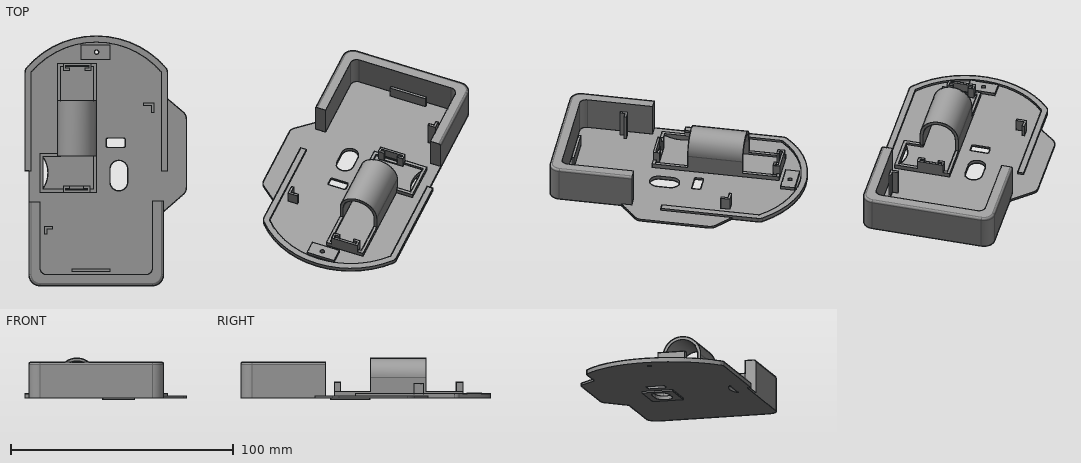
import cadquery as cq
import math


body_width = 60.5
total_length = 112.25
plate_thickness = 1.0
tab_right = 70.78
tab_root_y = (33.3, 84.05)
tab_edge_y = (42.3, 76.8)
tab_corner_radius = 4.0

rim_overhang = 1.75
rim_width = 2.8
rim_height = 2.0
rim_start_y = 51.6
dome_radius = 41.3
rim_corner_radius = 3.0

wall_top = 16.2
wall_thickness = 5.0
wall_corner_radius = 5.0
wall_inner_radius = 3.0
wall_edge_fillet = 1.0
left_wall_end_y = 37.7
right_wall_end_y = 38.1

tray_height = 3.0
tray_wall = 1.4
tray_floor = 2.0
tray_right = 30.4
channel_left = 12.75
channel_top = 99.9
bay_left = 5.0
bay_bottom = 42.0
bay_top = 59.5

sleeve_start_y = 58.2
sleeve_end_y = 83.2
sleeve_top = 18.0

clip_wall = 1.0
clip_top = 7.2
clip_left = 15.45
clip_hook = 1.85
upper_clip_width = 12.55
upper_clip_depth = 3.15
lower_clip_width = 11.9
lower_clip_depth = 2.8
clip_sill_top = 2.5

thumb_radius = 12.4
thumb_reach = 2.1

locator_thickness = 1.1
upper_locator_top = 6.5
upper_locator_corner = (56.1, 82.1)
upper_locator_size = (4.6, 4.2)
lower_locator_corner = (6.95, 26.7)
lower_locator_size = (3.6, 3.4)
lower_locator_top = 13.0
front_rib_x = (19.4, 36.5)
front_rib_y = 6.45
front_rib_top = 6.5

hole_diameter = 1.85
hole_center = (30.4, 104.95)
hole_pad_x = (23.5, 36.5)
hole_pad_y = (101.65, 108.1)
hole_pad_top = 2.35
slot_center = (40.4, 49.5)
slot_length = 13.6
slot_width = 7.9
slot_pad_x = (33.15, 47.45)
slot_pad_y = (40.35, 58.0)
slot_pad_depth = 0.71
window_x = (34.75, 43.25)
window_y = (62.2, 66.3)
window_corner_radius = 0.7


def block(x_range, y_range, z_range):
    """Box between two limits on each axis."""
    size = [high - low for low, high in (x_range, y_range, z_range)]
    corner = (x_range[0], y_range[0], z_range[0])
    return cq.Workplane("XY").box(*size, centered=False).translate(corner)


def dome_plate(inset, bottom_y, height):
    """Plate with straight sides and a domed end, inset from the rim outline."""
    left = inset - rim_overhang
    right = body_width + rim_overhang - inset
    radius = dome_radius - inset
    center_y = total_length - dome_radius
    shoulder_y = center_y + math.sqrt(radius**2 - ((right - left) / 2) ** 2)
    return (
        cq.Workplane("XY")
        .moveTo(left, bottom_y)
        .lineTo(right, bottom_y)
        .lineTo(right, shoulder_y)
        .threePointArc((body_width / 2, total_length - inset), (left, shoulder_y))
        .close()
        .extrude(height)
    )


def rim_blank(height):
    """Domed plate to the outside of the rim, with eased shoulders."""
    return dome_plate(0, rim_start_y, height).edges("|Z").edges(">Y").fillet(rim_corner_radius)


def rounded_body(height):
    """Square end of the part, rounded at its two outer corners."""
    body = block((0, body_width), (0, rim_start_y), (0, height))
    return body.edges("|Z and <Y").fillet(wall_corner_radius)


def make_base():
    tab = (
        cq.Workplane("XY")
        .moveTo(body_width / 2, tab_root_y[0])
        .lineTo(body_width, tab_root_y[0])
        .lineTo(tab_right, tab_edge_y[0])
        .lineTo(tab_right, tab_edge_y[1])
        .lineTo(body_width + rim_overhang, tab_root_y[1])
        .lineTo(body_width / 2, tab_root_y[1])
        .close()
        .extrude(plate_thickness)
        .edges("|Z and >X")
        .fillet(tab_corner_radius)
    )
    return rounded_body(plate_thickness).union(rim_blank(plate_thickness)).union(tab)


def make_rim():
    return rim_blank(rim_height).cut(dome_plate(rim_width, rim_start_y, rim_height))


def make_wall():
    cavity = block(
        (wall_thickness, body_width - wall_thickness),
        (wall_thickness, rim_start_y),
        (0, wall_top),
    )
    cavity = cavity.edges("|Z and <Y").fillet(wall_inner_radius)
    wall = rounded_body(wall_top)
    wall = wall.faces(">Z").edges("not >Y").fillet(wall_edge_fillet)
    wall = wall.cut(cavity)
    middle = body_width / 2
    wall = wall.cut(block((0, middle), (left_wall_end_y, rim_start_y), (0, wall_top)))
    return wall.cut(block((middle, body_width), (right_wall_end_y, rim_start_y), (0, wall_top)))


def tray_solid(inset, z_range):
    """Channel and bay together, with every side moved in by the inset."""
    right = tray_right - inset
    channel = block(
        (channel_left + inset, right), (bay_bottom + inset, channel_top - inset), z_range
    )
    bay = block((bay_left + inset, right), (bay_bottom + inset, bay_top - inset), z_range)
    return channel.union(bay)


def make_tray():
    outer = tray_solid(0, (0, tray_height))
    return outer.cut(tray_solid(tray_wall, (tray_floor, tray_height)))


def arch(radius):
    """Round-topped solid along Y, standing on the tray floor."""
    center_x = (channel_left + tray_right) / 2
    axis_z = sleeve_top - (tray_right - channel_left) / 2
    length = sleeve_end_y - sleeve_start_y
    return (
        cq.Workplane("XZ", origin=(center_x, sleeve_start_y, 0))
        .moveTo(-radius, tray_floor)
        .lineTo(radius, tray_floor)
        .lineTo(radius, axis_z)
        .threePointArc((0, axis_z + radius), (-radius, axis_z))
        .close()
        .extrude(-length)
    )


def make_sleeve():
    outer_radius = (tray_right - channel_left) / 2
    return arch(outer_radius).cut(arch(outer_radius - tray_wall))


def make_clip(back_y, inward, width, depth):
    """C-shaped clip; inward is the Y direction from its back to its hooks."""
    z_range = (plate_thickness, clip_top)

    def span(start, end):
        return tuple(sorted((back_y + inward * start, back_y + inward * end)))

    right = clip_left + width
    inner_x = (clip_left + clip_wall, right - clip_wall)
    mouth_x = (inner_x[0] + clip_hook, inner_x[1] - clip_hook)
    clip = block((clip_left, right), span(0, depth), z_range)
    clip = clip.cut(block(inner_x, span(clip_wall, depth - clip_wall), z_range))
    return clip.cut(block(mouth_x, span(clip_wall, depth), z_range))


def make_clip_sill():
    """Low sill between the hooks of the lower clip."""
    right = clip_left + lower_clip_width
    y_range = (bay_bottom + tray_wall, bay_bottom + lower_clip_depth)
    return block((clip_left + clip_wall, right - clip_wall), y_range, (plate_thickness, clip_sill_top))


def make_locator(corner, size, top, x_direction):
    """L-shaped post; its arms run from the corner along x_direction and -Y."""
    x, y = corner
    z_range = (0, top)
    arm_x = sorted((x, x + x_direction * size[0]))
    leg_x = sorted((x, x + x_direction * locator_thickness))
    arm = block(arm_x, (y - locator_thickness, y), z_range)
    return arm.union(block(leg_x, (y - size[1], y), z_range))


def make_front_rib():
    return block(front_rib_x, (front_rib_y, front_rib_y + locator_thickness), (0, front_rib_top))


def make_pads():
    hole_pad = block(hole_pad_x, hole_pad_y, (0, hole_pad_top))
    return hole_pad, block(slot_pad_x, slot_pad_y, (-slot_pad_depth, plate_thickness))


def make_openings():
    bottom = -slot_pad_depth
    height = hole_pad_top - bottom
    plane = cq.Workplane("XY", origin=(0, 0, bottom))
    hole = plane.center(*hole_center).circle(hole_diameter / 2).extrude(height)
    slot = plane.center(*slot_center).slot2D(slot_length, slot_width, 90).extrude(height)
    window = block(window_x, window_y, (0, plate_thickness))
    window = window.edges("|Z").fillet(window_corner_radius)
    return hole, slot, window


def make_thumb_opening():
    """Circular segment cut through the tray floor against the bay's left wall."""
    chord_x = bay_left + tray_wall
    center_x = chord_x + thumb_reach - thumb_radius
    center_y = (bay_bottom + bay_top) / 2
    disc = (
        cq.Workplane("XY").center(center_x, center_y).circle(thumb_radius).extrude(tray_floor)
    )
    return disc.intersect(tray_solid(tray_wall, (0, tray_floor)))


additions = [
    make_rim(),
    make_wall(),
    make_tray(),
    make_sleeve(),
    make_clip(channel_top, -1, upper_clip_width, upper_clip_depth),
    make_clip(bay_bottom, 1, lower_clip_width, lower_clip_depth),
    make_clip_sill(),
    make_locator(upper_locator_corner, upper_locator_size, upper_locator_top, -1),
    make_locator(lower_locator_corner, lower_locator_size, lower_locator_top, 1),
    make_front_rib(),
    *make_pads(),
]

result = make_base()
for feature in additions:
    result = result.union(feature)
for opening in (*make_openings(), make_thumb_opening()):
    result = result.cut(opening)